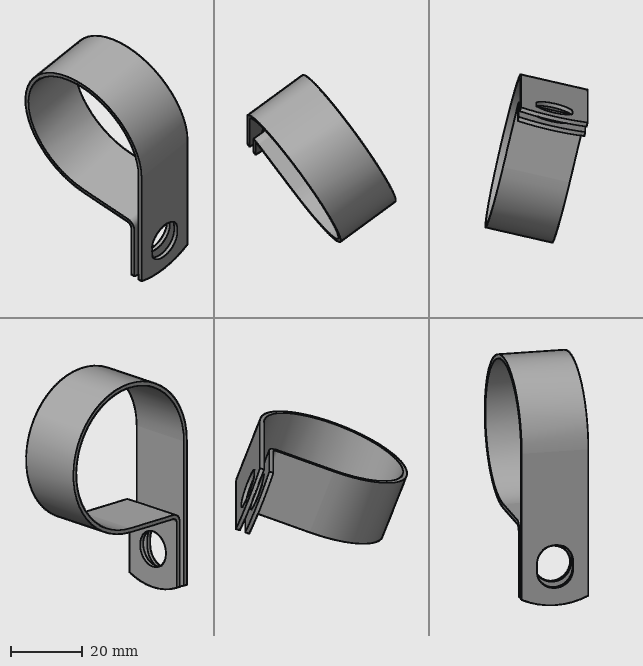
import cadquery as cq
import math

strip_width = 19.0
thickness = 1.2
total_height = 66.3
loop_width = 43.7
outer_radius = loop_width / 2
inner_radius = outer_radius - thickness

leg_gap = 1.6
bend_inner_radius = 1.3
bend_outer_radius = bend_inner_radius + thickness
bottom_z = outer_radius - total_height
short_leg_right = inner_radius - leg_gap
short_leg_left = short_leg_right - thickness

end_rise = 2.1
hole_width = 10.35
slot_length = 12.45
hole_height = 11.2


def make_strip():
    """Bent strip: long leg, three-quarter loop, flat shelf and short leg."""
    diagonal = math.sqrt(0.5)
    bend_x = short_leg_right - bend_outer_radius
    bend_z = -inner_radius - bend_outer_radius
    return (
        cq.Workplane("XZ")
        .moveTo(outer_radius, bottom_z)
        .lineTo(outer_radius, 0)
        .threePointArc((-outer_radius * diagonal, outer_radius * diagonal), (0, -outer_radius))
        .lineTo(bend_x, -outer_radius)
        .threePointArc(
            (bend_x + bend_inner_radius * diagonal, bend_z + bend_inner_radius * diagonal),
            (short_leg_left, bend_z),
        )
        .lineTo(short_leg_left, bottom_z)
        .lineTo(short_leg_right, bottom_z)
        .lineTo(short_leg_right, bend_z)
        .threePointArc(
            (bend_x + bend_outer_radius * diagonal, bend_z + bend_outer_radius * diagonal),
            (bend_x, -inner_radius),
        )
        .lineTo(0, -inner_radius)
        .threePointArc((-inner_radius * diagonal, inner_radius * diagonal), (inner_radius, 0))
        .lineTo(inner_radius, bottom_z)
        .close()
        .extrude(strip_width / 2, both=True)
    )


def make_side_envelope():
    """Side outline of the strip with its rounded lower end."""
    half_width = strip_width / 2
    return (
        cq.Workplane("YZ")
        .moveTo(-half_width, outer_radius)
        .lineTo(-half_width, bottom_z + end_rise)
        .threePointArc((0, bottom_z), (half_width, bottom_z + end_rise))
        .lineTo(half_width, outer_radius)
        .close()
        .extrude(outer_radius, both=True)
    )


def make_bolt_hole():
    """Cylinder along X through the short leg."""
    return (
        cq.Workplane("YZ", origin=(short_leg_left, 0, bottom_z + hole_height))
        .circle(hole_width / 2)
        .extrude(thickness)
    )


def make_bolt_slot():
    """Round-ended upright slot through the long leg, centred on the bolt hole."""
    return (
        cq.Workplane("YZ", origin=(inner_radius, 0, bottom_z + hole_height))
        .slot2D(slot_length, hole_width, 90)
        .extrude(thickness)
    )


result = (
    make_strip()
    .intersect(make_side_envelope())
    .cut(make_bolt_hole())
    .cut(make_bolt_slot())
)